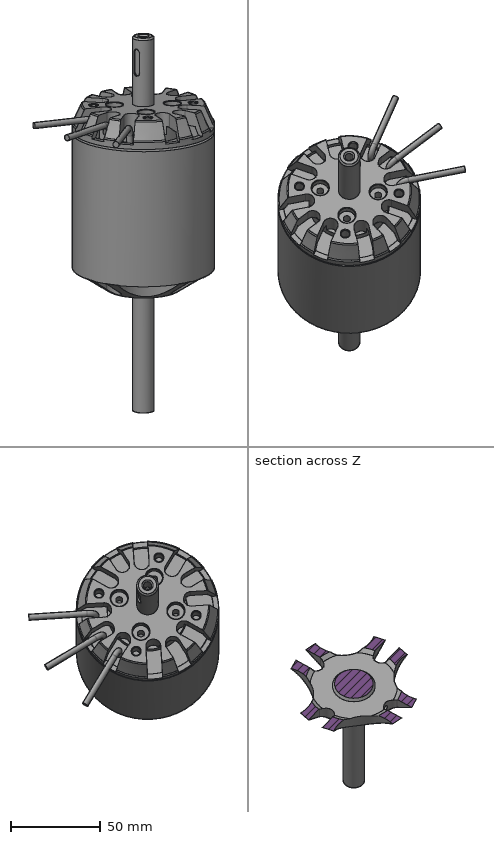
import cadquery as cq
import math


shaft_dia = 12.2
shaft_length = 218.4
shaft_top = 39.6
shaft_chamfer = 1.0
center_hole_dia = 4.4
center_hole_depth = 12.0
center_sink_dia = 6.2
key_width = 3.8
key_length = 15.7
key_depth = 1.2
key_top_gap = 6.5

motor_radius = 40.0
cap_height = 15.2
plate_thickness = 8.0
cap_top_radius = 34.9
cap_edge_chamfer = 0.7
cone_foot_radius = 39.3
cone_height = 10.4
foot_chamfer = motor_radius - cone_foot_radius
rim_notch_depth = 12.6
rim_inner_radius = 37.0
cap_cavity_top_radius = 34.5
hub_radius = 22.6

slot_width = 8.4
axis_slot_tip = 22.7
side_slot_tip = 20.4
side_slot_tilt = 28.0
side_slot_offset = 1.6

rim_hole_circle = 28.0
rim_hole_dia = 4.6
rim_hole_sink_dia = 5.6
screw_circle = 16.3
screw_head_dia = 9.5
screw_head_sink_dia = 10.2
screw_head_depth = 4.0
screw_hole_dia = 3.8
screw_hole_depth = 12.0
drill_point_angle = 118.0

can_gap = 1.3
can_height = 78.8
can_top = -cap_height - can_gap
can_bottom = can_top - can_height

bell_height = 12.1
bell_top_radius = 39.0
bell_bottom_radius = 20.9
bell_bottom = can_bottom - bell_height
cavity_top_radius = 29.5
cavity_floor_radius = 24.5
cavity_depth = 2.9
bell_hub_radius = 12.0
bell_hub_top_radius = 10.0
window_radius = 18.8
window_circle = 41.8
bell_slot_width = 9.4
bell_slot_tip = 21.8
pin_hole_dia = 3.3
pin_hole_height = 4.5

wire_dia = 3.5
wire_depth = 5.1
wire_bend_radius = 5.0
wire_root_radius = 29.2
wire_end_radius = 66.82

QUARTER_TURNS = (0, 90, 180, 270)
FRONT_ANGLE = 270


def turned(body, angle):
    return body.rotate((0, 0, 0), (0, 0, 1), angle)


def cylinder(radius, z_bottom, z_top):
    return cq.Workplane("XY").workplane(offset=z_bottom).circle(radius).extrude(z_top - z_bottom)


def revolved(points):
    """Solid of revolution about Z from (radius, z) points."""
    return cq.Workplane("XZ").polyline(points).close().revolve(360, (0, 0, 0), (0, 1, 0))


def round_slot(tip, width, z_bottom, z_top):
    """Vertical cut along +X with a rounded inner end, open beyond the outer radius."""
    end_center = tip + width / 2
    length = motor_radius
    bar = (
        cq.Workplane("XY")
        .workplane(offset=z_bottom)
        .center(end_center + length / 2, 0)
        .rect(length, width)
        .extrude(z_top - z_bottom)
    )
    return bar.union(cylinder(width / 2, z_bottom, z_top).translate((end_center, 0, 0)))


def drilled_hole(dia, depth, z_top):
    """Blind hole on the Z axis that ends in a drill point."""
    point_depth = dia / 2 / math.tan(math.radians(drill_point_angle / 2))
    return revolved([
        (0, z_top),
        (dia / 2, z_top),
        (dia / 2, z_top - depth),
        (0, z_top - depth - point_depth),
    ])


def sink(dia, sink_dia, z_top):
    """45 degree sink that widens a hole mouth from dia to sink_dia."""
    sink_depth = (sink_dia - dia) / 2
    return revolved([
        (0, z_top),
        (sink_dia / 2, z_top),
        (dia / 2, z_top - sink_depth),
        (0, z_top - sink_depth),
    ])


def side_placed(body, side):
    """Tilt a body lying along +X to one side (+1 or -1) of the axis and shift it sideways."""
    return turned(body.translate((0, -side * side_slot_offset, 0)), side * side_slot_tilt)


def make_shaft():
    shaft = cylinder(shaft_dia / 2, shaft_top - shaft_length, shaft_top)
    shaft = shaft.faces(">Z").chamfer(shaft_chamfer)
    center_hole = drilled_hole(center_hole_dia, center_hole_depth, shaft_top)
    center_hole = center_hole.union(sink(center_hole_dia, center_sink_dia, shaft_top))
    key_seat = (
        cq.Workplane("XZ", origin=(0, key_depth - shaft_dia / 2, 0))
        .center(0, shaft_top - key_top_gap - key_length / 2)
        .slot2D(key_length, key_width, 90)
        .extrude(shaft_dia)
    )
    return shaft.cut(center_hole).cut(key_seat)


def make_cap():
    cap = revolved([
        (0, 0),
        (cap_top_radius - cap_edge_chamfer, 0),
        (cap_top_radius, -cap_edge_chamfer),
        (cone_foot_radius, -cone_height),
        (motor_radius, -cone_height - foot_chamfer),
        (motor_radius, -cap_height),
        (rim_inner_radius, -cap_height),
        (rim_inner_radius, -rim_notch_depth),
        (cap_cavity_top_radius, -plate_thickness),
        (0, -plate_thickness),
    ])
    cap = cap.union(cylinder(hub_radius, can_top, -plate_thickness))
    axis_slot = round_slot(axis_slot_tip, slot_width, -rim_notch_depth, 0)
    side_slot = round_slot(side_slot_tip, slot_width, -rim_notch_depth, 0)
    for angle in QUARTER_TURNS:
        cap = cap.cut(turned(axis_slot, angle))
        for side in (-1, 1):
            cap = cap.cut(turned(side_placed(side_slot, side), angle))
    return cut_screw_holes(cap)


def cut_screw_holes(cap):
    rim_hole = (
        cylinder(rim_hole_dia / 2, -plate_thickness, 0)
        .union(sink(rim_hole_dia, rim_hole_sink_dia, 0))
        .translate((rim_hole_circle, 0, 0))
    )
    screw_hole = (
        drilled_hole(screw_hole_dia, screw_hole_depth, 0)
        .union(cylinder(screw_head_dia / 2, -screw_head_depth, 0))
        .union(sink(screw_head_dia, screw_head_sink_dia, 0))
        .translate((screw_circle, 0, 0))
    )
    for angle in QUARTER_TURNS:
        cap = cap.cut(turned(rim_hole, angle + 45))
        cap = cap.cut(turned(screw_hole, angle + 45))
    return cap


def make_bell():
    cavity_floor = can_bottom - cavity_depth
    bell = revolved([
        (0, bell_bottom),
        (bell_bottom_radius, bell_bottom),
        (bell_top_radius, can_bottom),
        (cavity_top_radius, can_bottom),
        (cavity_floor_radius, cavity_floor),
        (bell_hub_radius, cavity_floor),
        (bell_hub_top_radius, can_bottom),
        (0, can_bottom),
    ])
    window = cylinder(window_radius, bell_bottom, can_bottom).translate((window_circle, 0, 0))
    slot = round_slot(bell_slot_tip, bell_slot_width, bell_bottom, can_bottom)
    for angle in QUARTER_TURNS:
        bell = bell.cut(turned(window, angle + 45))
        bell = bell.cut(turned(slot, angle))
    return bell


def make_wire():
    """Lead along +X that rises from the can and bends outwards."""
    z_wire = -wire_depth
    bend_center_x = wire_root_radius + wire_bend_radius
    bend_bottom = z_wire - wire_bend_radius
    arc_shift = wire_bend_radius * math.sqrt(0.5)
    path = (
        cq.Workplane("XZ")
        .moveTo(wire_root_radius, can_top)
        .lineTo(wire_root_radius, bend_bottom)
        .threePointArc(
            (bend_center_x - arc_shift, bend_bottom + arc_shift),
            (bend_center_x, z_wire),
        )
        .lineTo(wire_end_radius, z_wire)
    )
    start = cq.Workplane("XY", origin=(wire_root_radius, 0, can_top))
    return start.circle(wire_dia / 2).sweep(path)


def make_pin_hole():
    """Cross hole along X through the bell and the shaft."""
    return (
        cq.Workplane("YZ", origin=(-motor_radius, 0, bell_bottom + pin_hole_height))
        .circle(pin_hole_dia / 2)
        .extrude(2 * motor_radius)
    )


motor = make_cap().union(cylinder(motor_radius, can_bottom, can_top))
motor = motor.union(make_bell()).union(make_shaft())
wire = make_wire()
motor = motor.union(turned(wire, FRONT_ANGLE))
for side in (-1, 1):
    motor = motor.union(turned(side_placed(wire, side), FRONT_ANGLE))
result = motor.cut(make_pin_hole())